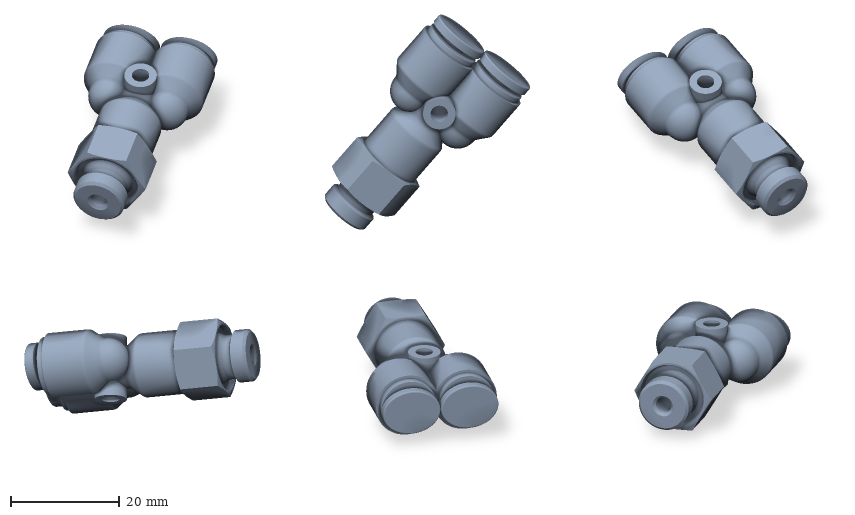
import cadquery as cq
import math


thread_dia = 9.73
thread_chamfer = 0.5
thread_end_y = 2.87
undercut_dia = 8.2
undercut_start_y = 3.31
flare_start_y = 4.87
flare_end_dia = 9.5
bore_dia = 3.0
bore_mouth_dia = 4.0
hex_across_flats = 13.0
hex_start_y = 5.3
hex_length = 8.0
hex_end_y = hex_start_y + hex_length
hex_chamfer_angle = 20.0
seal_recess_mouth_dia = 12.3
seal_recess_floor_dia = 11.5
seal_recess_depth = 1.0

barrel_dia = 11.9
neck_dia = 8.0
taper_length = 2.6
taper_blend = 1.0
stem_taper_start_y = 21.3
branch_offset = 5.5
branch_taper_end_y = 26.7
branch_ball_y = 26.35
branch_end_y = 37.3

eyelet_dia = 6.0
eyelet_hole_dia = 3.2
eyelet_y = 27.7

collar_dia = 10.6
collar_length = 1.2
collar_chamfer = 0.1
collar_end_y = branch_end_y + collar_length
button_stem_dia = 5.5
button_width = 10.86
button_height = 8.57
button_start_y = 39.2
total_length = 40.9
button_rim_fillet = 0.25
button_underside_chamfer = 0.1


def revolve_about_y(profile):
    """Revolve a closed profile, drawn in XY with X as radius, about the Y axis."""
    return profile.close().revolve(360, (0, 0, 0), (0, 1, 0))


def cylinder_along_y(dia, start_y, end_y, x=0.0):
    plane = cq.Plane(origin=(x, start_y, 0), xDir=(1, 0, 0), normal=(0, 1, 0))
    return cq.Workplane(plane).circle(dia / 2).extrude(end_y - start_y)


def tapered_barrel(barrel_start_y, taper_start_y, taper_end_y, neck_end_y):
    """Barrel that tapers down to the neck, with both corners of the taper rounded.

    The four Y values run in order from the barrel's free end to the neck's free end.
    """
    barrel_r = barrel_dia / 2
    neck_r = neck_dia / 2
    direction = math.copysign(1, neck_end_y - barrel_start_y)
    taper_angle = math.atan2(barrel_r - neck_r, taper_length)
    tangent = taper_blend * math.tan(taper_angle / 2)
    tangent_r = tangent * math.sin(taper_angle)
    tangent_y = direction * tangent * math.cos(taper_angle)
    middle_r = taper_blend * (1 - math.cos(taper_angle / 2))
    middle_y = direction * taper_blend * math.sin(taper_angle / 2)
    blend_start_y = taper_start_y - direction * tangent
    blend_end_y = taper_end_y + direction * tangent
    return revolve_about_y(
        cq.Workplane("XY")
        .moveTo(0, barrel_start_y)
        .lineTo(barrel_r, barrel_start_y)
        .lineTo(barrel_r, blend_start_y)
        .threePointArc(
            (barrel_r - middle_r, blend_start_y + middle_y),
            (barrel_r - tangent_r, taper_start_y + tangent_y),
        )
        .lineTo(neck_r + tangent_r, taper_end_y - tangent_y)
        .threePointArc((neck_r + middle_r, blend_end_y - middle_y), (neck_r, blend_end_y))
        .lineTo(neck_r, neck_end_y)
        .lineTo(0, neck_end_y)
    )


def make_threaded_fitting():
    hex_corner_dia = hex_across_flats / math.cos(math.pi / 6)
    hex_plane = cq.Plane(origin=(0, hex_start_y, 0), xDir=(1, 0, 0), normal=(0, 1, 0))
    nut = cq.Workplane(hex_plane).polygon(6, hex_corner_dia).extrude(hex_length)

    flat_r = hex_across_flats / 2
    corner_r = hex_corner_dia / 2
    chamfer_length = (corner_r - flat_r) * math.tan(math.radians(hex_chamfer_angle))
    nut = nut.intersect(
        revolve_about_y(
            cq.Workplane("XY")
            .moveTo(0, hex_start_y)
            .lineTo(flat_r, hex_start_y)
            .lineTo(corner_r, hex_start_y + chamfer_length)
            .lineTo(corner_r, hex_end_y - chamfer_length)
            .lineTo(flat_r, hex_end_y)
            .lineTo(0, hex_end_y)
        )
    )

    recess_floor_y = hex_start_y + seal_recess_depth
    nut = nut.cut(
        revolve_about_y(
            cq.Workplane("XY")
            .moveTo(0, hex_start_y)
            .lineTo(seal_recess_mouth_dia / 2, hex_start_y)
            .lineTo(seal_recess_floor_dia / 2, recess_floor_y)
            .lineTo(0, recess_floor_y)
        )
    )

    thread_r = thread_dia / 2
    undercut_r = undercut_dia / 2
    threaded_end = revolve_about_y(
        cq.Workplane("XY")
        .lineTo(thread_r - thread_chamfer, 0)
        .lineTo(thread_r, thread_chamfer)
        .lineTo(thread_r, thread_end_y)
        .lineTo(undercut_r, undercut_start_y)
        .lineTo(undercut_r, flare_start_y)
        .lineTo(flare_end_dia / 2, recess_floor_y)
        .lineTo(0, recess_floor_y)
    )

    bore_r = bore_dia / 2
    mouth_r = bore_mouth_dia / 2
    bore = revolve_about_y(
        cq.Workplane("XY")
        .lineTo(mouth_r, 0)
        .lineTo(bore_r, mouth_r - bore_r)
        .lineTo(bore_r, hex_end_y)
        .lineTo(0, hex_end_y)
    )
    return nut.union(threaded_end).cut(bore)


def make_branch(x):
    """One branch: a barrel tapering toward the stem and closed by a ball."""
    barrel = tapered_barrel(
        branch_end_y, branch_taper_end_y + taper_length, branch_taper_end_y, branch_ball_y
    )
    ball = cq.Workplane("XY").sphere(neck_dia / 2).translate((0, branch_ball_y, 0))
    return barrel.union(ball).translate((x, 0, 0))


def make_housing():
    housing = tapered_barrel(
        hex_end_y, stem_taper_start_y, stem_taper_start_y + taper_length, eyelet_y
    )
    for side in (-1, 1):
        housing = housing.union(make_branch(side * branch_offset))

    eyelet_plane = cq.Workplane("XY", origin=(0, eyelet_y, -barrel_dia / 2))
    housing = housing.union(eyelet_plane.circle(eyelet_dia / 2).extrude(barrel_dia))
    return housing.cut(eyelet_plane.circle(eyelet_hole_dia / 2).extrude(barrel_dia))


def make_collar(x):
    """Ring on the end face of a branch, with the release button's stem in its hole."""
    ring = cylinder_along_y(collar_dia, branch_end_y, collar_end_y, x)
    ring = ring.faces(">Y").edges().chamfer(collar_chamfer)
    return ring.cut(cylinder_along_y(button_stem_dia, branch_end_y, collar_end_y, x))


def make_release_button(x):
    """Round stem that carries an elliptical push plate."""
    plate_plane = cq.Plane(origin=(x, button_start_y, 0), xDir=(1, 0, 0), normal=(0, 1, 0))
    plate = (
        cq.Workplane(plate_plane)
        .ellipse(button_width / 2, button_height / 2)
        .extrude(total_length - button_start_y)
        .faces(">Y")
        .edges()
        .fillet(button_rim_fillet)
        .faces("<Y")
        .edges()
        .chamfer(button_underside_chamfer)
    )
    return plate.union(cylinder_along_y(button_stem_dia, branch_end_y, button_start_y, x))


threaded_fitting = make_threaded_fitting()
housing = make_housing()
collars = []
release_buttons = []
for side in (-1, 1):
    collars.append(make_collar(side * branch_offset).val())
    release_buttons.append(make_release_button(side * branch_offset).val())

result = cq.Compound.makeCompound(
    [threaded_fitting.val(), housing.val(), *collars, *release_buttons]
)